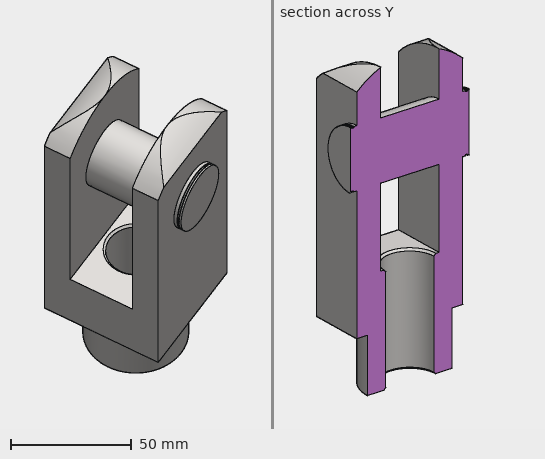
import cadquery as cq
import math

total_height = 148
body_width = 55.0
slot_width = 30.0
shank_diameter = 44.0
shank_height = body_width / 2
slot_floor = body_width

pin_axis_height = 110.0
pin_diameter = 30.0
pin_length = 62.0
groove_diameter = 29.0
groove_width = 0.9
pin_end_land = 1.0

bore_diameter = 24.9
bore_chamfer = 1.0

side_crown_radius = total_height - pin_axis_height
front_crown_radius = math.hypot(side_crown_radius, slot_width / 2)


def crown(plane, radius):
    """Body-wide prism with a cylindrical top centred on the pin axis."""
    half_width = body_width / 2
    shoulder = pin_axis_height + math.sqrt(radius**2 - half_width**2)
    return (
        cq.Workplane(plane)
        .moveTo(-half_width, shank_height)
        .lineTo(half_width, shank_height)
        .lineTo(half_width, shoulder)
        .threePointArc((0, pin_axis_height + radius), (-half_width, shoulder))
        .close()
        .extrude(half_width, both=True)
    )


def make_fork():
    """Square fork with crowned tips, a round shank and a through bore."""
    body = crown("XZ", front_crown_radius).intersect(crown("YZ", side_crown_radius))
    slot = (
        cq.Workplane("XY", origin=(0, 0, slot_floor))
        .rect(slot_width, body_width)
        .extrude(total_height - slot_floor)
    )
    shank = cq.Workplane("XY").circle(shank_diameter / 2).extrude(shank_height)
    return body.cut(slot).union(shank).cut(make_bore())


def make_bore():
    """Bore profile with a countersink at each end, revolved about Z."""
    bore_radius = bore_diameter / 2
    mouth_radius = bore_radius + bore_chamfer
    return (
        cq.Workplane("XZ")
        .moveTo(0, 0)
        .lineTo(mouth_radius, 0)
        .lineTo(bore_radius, bore_chamfer)
        .lineTo(bore_radius, slot_floor - bore_chamfer)
        .lineTo(mouth_radius, slot_floor)
        .lineTo(0, slot_floor)
        .close()
        .revolve(360, (0, 0, 0), (0, 1, 0))
    )


def make_pin():
    """Cross pin with a shallow retaining groove near each end."""
    axis_plane = cq.Workplane("YZ", origin=(0, 0, pin_axis_height))
    pin = axis_plane.circle(pin_diameter / 2).extrude(pin_length / 2, both=True)
    groove_start = pin_length / 2 - pin_end_land - groove_width
    for offset in (groove_start, -groove_start - groove_width):
        groove = (
            axis_plane.workplane(offset=offset)
            .circle(pin_diameter / 2)
            .circle(groove_diameter / 2)
            .extrude(groove_width)
        )
        pin = pin.cut(groove)
    return pin


result = make_fork().union(make_pin())